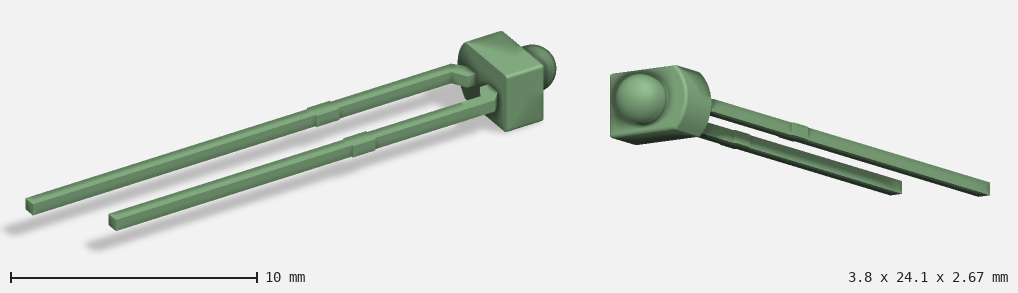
import cadquery as cq
import math


BODY_WIDTH = 3.8
BODY_HEIGHT = 2.67
BODY_DEPTH = 1.83
CURVED_SIDE_BULGE = 0.58
BODY_EDGE_RADIUS = 0.15

OVERALL_LENGTH = 24.05
LENS_RADIUS = 0.99
LENS_TOP = 3.37
LENS_FOOT_RADIUS = 0.07

LEAD_WIDTH = 0.58
LEAD_THICKNESS = 0.53
LEAD_PITCH = 2.81
LONG_LEAD_END = LENS_TOP - OVERALL_LENGTH
SHORT_LEAD_END = -18.47
STOP_WIDTH = 0.75
STOP_START = -6.15
STOP_LENGTH = 1.08
ROOT_INNER_X = 0.48
ROOT_OUTER_X = 1.2
ROOT_INNER_END = -0.4
OUTER_BEND_Y = -0.43
INNER_BEND_Y = -0.77


def make_resin():
    """Body with one bulged side, and a domed lens blended onto its +Y face."""
    half_width = BODY_WIDTH / 2
    half_height = BODY_HEIGHT / 2
    arc_end_x = CURVED_SIDE_BULGE - half_width

    body = (
        cq.Workplane("XZ")
        .moveTo(arc_end_x, -half_height)
        .lineTo(half_width, -half_height)
        .lineTo(half_width, half_height)
        .lineTo(arc_end_x, half_height)
        .threePointArc((-half_width, 0), (arc_end_x, -half_height))
        .close()
        .extrude(-BODY_DEPTH)
    )
    body = body.edges("|Y and >X").fillet(BODY_EDGE_RADIUS)
    body = body.faces(">Y").edges().fillet(BODY_EDGE_RADIUS)

    dome_start = LENS_TOP - LENS_RADIUS
    dome_offset = LENS_RADIUS * math.sqrt(0.5)
    foot_offset = LENS_FOOT_RADIUS * (1 - math.sqrt(0.5))
    lens = (
        cq.Workplane("XY")
        .moveTo(0, BODY_DEPTH)
        .lineTo(LENS_RADIUS + LENS_FOOT_RADIUS, BODY_DEPTH)
        .threePointArc(
            (LENS_RADIUS + foot_offset, BODY_DEPTH + foot_offset),
            (LENS_RADIUS, BODY_DEPTH + LENS_FOOT_RADIUS),
        )
        .lineTo(LENS_RADIUS, dome_start)
        .threePointArc((dome_offset, dome_start + dome_offset), (0, LENS_TOP))
        .close()
        .revolve(360, (0, 0), (0, 1))
    )
    return body.union(lens)


def make_lead(side, end_y):
    """Flat lead cranked outward at its root; side is -1 for -X and 1 for +X."""
    center_x = LEAD_PITCH / 2
    inner_x = center_x - LEAD_WIDTH / 2
    outer_x = center_x + LEAD_WIDTH / 2
    outline = [
        (ROOT_INNER_X, 0),
        (ROOT_OUTER_X, 0),
        (outer_x, OUTER_BEND_Y),
        (outer_x, end_y),
        (inner_x, end_y),
        (inner_x, INNER_BEND_Y),
        (ROOT_INNER_X, ROOT_INNER_END),
    ]
    lead = (
        cq.Workplane("XY")
        .polyline([(side * x, y) for x, y in outline])
        .close()
        .extrude(LEAD_THICKNESS / 2, both=True)
    )
    stop = cq.Workplane("XY").box(STOP_WIDTH, STOP_LENGTH, LEAD_THICKNESS)
    stop = stop.translate((side * center_x, STOP_START - STOP_LENGTH / 2, 0))
    return lead.union(stop)


resin = make_resin()
leads = [make_lead(side, end_y) for side, end_y in ((-1, LONG_LEAD_END), (1, SHORT_LEAD_END))]

result = cq.Compound.makeCompound([resin.val(), *(lead.val() for lead in leads)])